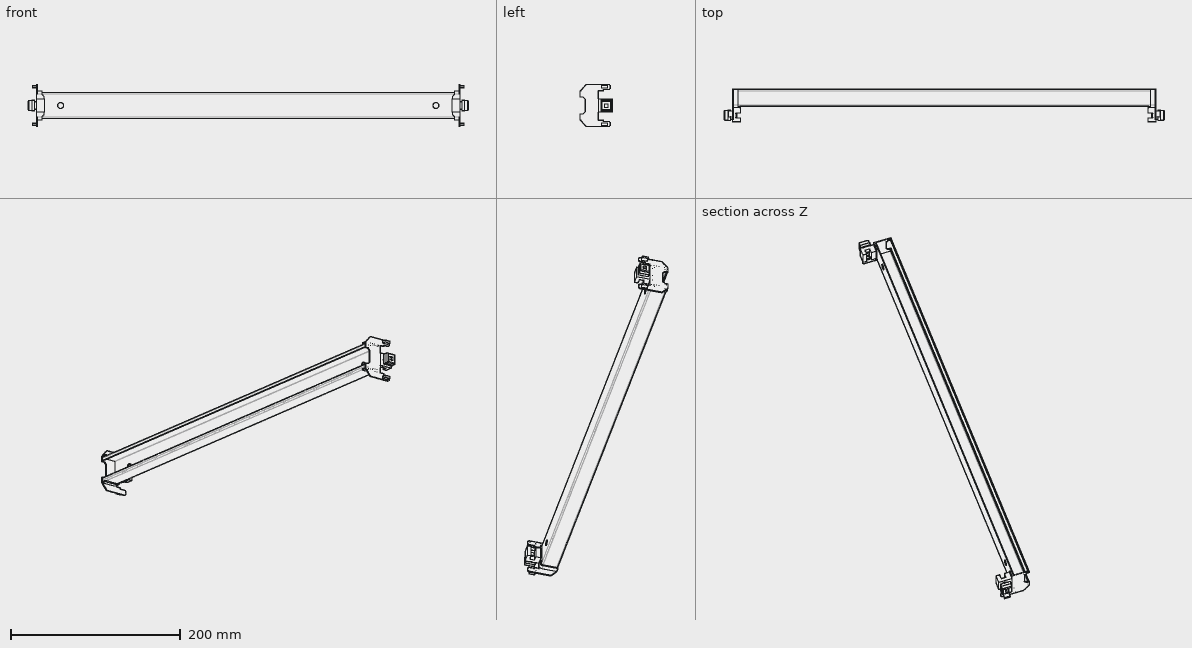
import cadquery as cq

LENGTH = 519.0
SHEET = 1.5
BACK_Y = 19.0

BEAM_HALF_HEIGHT = 15.5
BEAM_FRONT_Y = -1.0
BEAM_SHEET = 1.5
BEAM_BEND = 1.8
BEAM_LIP_Z = 11.0
BEAM_HOLE_X = 221.0
BEAM_HOLE_DIAMETER = 7.0

PLATE_OUTER_X = 249.5
PLATE_INNER_X = PLATE_OUTER_X - SHEET
PLATE_HALF_HEIGHT = 25.0
PLATE_CHAMFER_Y = 7.5
PLATE_CHAMFER_Z = 8.5
PLATE_FRONT_Y = BEAM_FRONT_Y - SHEET
ARM_INNER_Z = 18.5
ARM_TIP_Y = -16.5
ARM_ROOT_Y = -8.5
ARM_ROOT_INNER_Z = 17.0
ARM_TIP_CHAMFER = 1.5
NOTCH_Y = 13.0
NOTCH_HALF_HEIGHT = 10.0
NOTCH_CORNER = 2.5
SOCKET_END_X = 243.0
SOCKET_FRONT_END_X = 241.0
SOCKET_FRONT_HALF_HEIGHT = 13.0
SOCKET_FRONT_CHAMFER = 2.0
HOOK_END_X = 254.5
HOOK_Y = (-13.5, -6.0)
HOOK_Z = (21.0, 23.5)

HOLDER_OUTER_X = PLATE_OUTER_X
HOLDER_INNER_X = 240.0
HOLDER_FRONT_Y = -BACK_Y
HOLDER_HALF_HEIGHT = 8.0
SLOT_Y = (-14.5, -9.0)
SLOT_FLOOR_X = 245.5

BOLT_Y = sum(SLOT_Y) / 2
HEAD_OUTER_X = LENGTH / 2
HEAD_INNER_X = 255.0
HEAD_WIDTH = 12.0
HEAD_CHAMFER = 1.0
RECESS_WIDTH = 4.0
RECESS_DEPTH = 2.5
FLANGE_INNER_X = 251.5
FLANGE_WIDTH = 12.5
NECK_DIAMETER = 9.5
SHANK_DIAMETER = 4.5
SHANK_END_X = 244.0


def box(x_range, y_range, z_range):
    """Axis-aligned block between the given limits."""
    (x0, x1), (y0, y1), (z0, z1) = (sorted(limits) for limits in (x_range, y_range, z_range))
    return cq.Workplane("XY").box(x1 - x0, y1 - y0, z1 - z0, centered=False).translate((x0, y0, z0))


def make_beam():
    """Lipped channel with one hole through its front wall near each end."""
    half_length = PLATE_INNER_X
    ends = (-half_length, half_length)
    outside = box(ends, (BEAM_FRONT_Y, BACK_Y), (-BEAM_HALF_HEIGHT, BEAM_HALF_HEIGHT))
    outside = outside.edges("|X").fillet(BEAM_BEND)
    inner_half_height = BEAM_HALF_HEIGHT - BEAM_SHEET
    inner_depth = (BEAM_FRONT_Y + BEAM_SHEET, BACK_Y - BEAM_SHEET)
    inside = box(ends, inner_depth, (-inner_half_height, inner_half_height))
    inside = inside.edges("|X").fillet(BEAM_BEND - BEAM_SHEET)
    opening = box(ends, (BACK_Y - BEAM_SHEET, BACK_Y), (-BEAM_LIP_Z, BEAM_LIP_Z))
    holes = (
        cq.Workplane("XZ", origin=(0, BEAM_FRONT_Y, 0))
        .pushPoints([(-BEAM_HOLE_X, 0), (BEAM_HOLE_X, 0)])
        .circle(BEAM_HOLE_DIAMETER / 2)
        .extrude(-BEAM_SHEET)
    )
    return outside.cut(inside).cut(opening).cut(holes)


def make_plate():
    """Flat end plate with rear notch and two forward arms, outlined in Y and Z."""
    upper = [
        (NOTCH_Y, NOTCH_HALF_HEIGHT - NOTCH_CORNER),
        (NOTCH_Y + NOTCH_CORNER, NOTCH_HALF_HEIGHT),
        (BACK_Y, NOTCH_HALF_HEIGHT),
        (BACK_Y, PLATE_HALF_HEIGHT - PLATE_CHAMFER_Z),
        (BACK_Y - PLATE_CHAMFER_Y, PLATE_HALF_HEIGHT),
        (ARM_TIP_Y + ARM_TIP_CHAMFER, PLATE_HALF_HEIGHT),
        (ARM_TIP_Y, PLATE_HALF_HEIGHT - ARM_TIP_CHAMFER),
        (ARM_TIP_Y, ARM_INNER_Z + ARM_TIP_CHAMFER),
        (ARM_TIP_Y + ARM_TIP_CHAMFER, ARM_INNER_Z),
        (ARM_ROOT_Y, ARM_INNER_Z),
        (ARM_ROOT_Y, ARM_ROOT_INNER_Z),
        (PLATE_FRONT_Y, ARM_ROOT_INNER_Z),
    ]
    lower = [(y, -z) for y, z in reversed(upper)]
    return cq.Workplane("YZ", origin=(PLATE_INNER_X, 0, 0)).polyline(upper + lower).close().extrude(SHEET)


def make_socket():
    """Three-sided collar that wraps the top, front and bottom of the beam end."""
    length = (SOCKET_END_X, PLATE_INNER_X)
    half_height = BEAM_HALF_HEIGHT + SHEET
    collar = box(length, (PLATE_FRONT_Y, BACK_Y), (-half_height, half_height))
    collar = collar.edges("|X and <Y").fillet(BEAM_BEND + SHEET)
    front_tongue = box(
        (SOCKET_FRONT_END_X, PLATE_INNER_X),
        (PLATE_FRONT_Y, BEAM_FRONT_Y),
        (-SOCKET_FRONT_HALF_HEIGHT, SOCKET_FRONT_HALF_HEIGHT),
    )
    front_tongue = front_tongue.edges("|Y and <X").chamfer(SOCKET_FRONT_CHAMFER)
    beam_space = box(length, (BEAM_FRONT_Y, BACK_Y), (-BEAM_HALF_HEIGHT, BEAM_HALF_HEIGHT))
    beam_space = beam_space.edges("|X and <Y").fillet(BEAM_BEND)
    return collar.cut(beam_space).union(front_tongue)


def make_bracket():
    """Bracket at the +X end."""
    bracket = make_plate().union(make_socket())
    for side in (-1, 1):
        hook = box((PLATE_INNER_X, HOOK_END_X), HOOK_Y, [side * z for z in HOOK_Z])
        bracket = bracket.union(hook)
    return bracket


def bolt_cylinder(start_x, end_x, diameter):
    """Round bar on the bolt axis."""
    return cq.Workplane("YZ", origin=(start_x, BOLT_Y, 0)).circle(diameter / 2).extrude(end_x - start_x)


def make_holder():
    """Holder at the +X end, with a hole for the bolt through the floor of its slot."""
    height = (-HOLDER_HALF_HEIGHT, HOLDER_HALF_HEIGHT)
    block = box((HOLDER_INNER_X, HOLDER_OUTER_X), (HOLDER_FRONT_Y, PLATE_FRONT_Y), height)
    slot = box((HOLDER_INNER_X, SLOT_FLOOR_X), SLOT_Y, height)
    hole = bolt_cylinder(SLOT_FLOOR_X, HOLDER_OUTER_X, SHANK_DIAMETER)
    return block.cut(slot).cut(hole)


def make_bolt():
    """Bolt at the +X end, lying along X."""
    head = (
        cq.Workplane("YZ", origin=(HEAD_INNER_X, BOLT_Y, 0))
        .rect(HEAD_WIDTH, HEAD_WIDTH)
        .extrude(HEAD_OUTER_X - HEAD_INNER_X)
        .faces(">X")
        .chamfer(HEAD_CHAMFER)
        .faces(">X")
        .workplane()
        .rect(RECESS_WIDTH, RECESS_WIDTH)
        .cutBlind(-RECESS_DEPTH)
    )
    flange = (
        cq.Workplane("YZ", origin=(FLANGE_INNER_X, BOLT_Y, 0))
        .rect(FLANGE_WIDTH, FLANGE_WIDTH)
        .extrude(HEAD_INNER_X - FLANGE_INNER_X)
    )
    neck = bolt_cylinder(HOLDER_OUTER_X, FLANGE_INNER_X, NECK_DIAMETER)
    shank = bolt_cylinder(SHANK_END_X, HOLDER_OUTER_X, SHANK_DIAMETER)
    return head.union(flange).union(neck).union(shank)


def at_both_ends(body):
    """The given +X end body and its mirror image at the -X end."""
    return [body.val(), body.mirror("YZ").val()]


beam = make_beam()
brackets = at_both_ends(make_bracket())
holders = at_both_ends(make_holder())
bolts = at_both_ends(make_bolt())

result = cq.Compound.makeCompound([beam.val(), *brackets, *holders, *bolts])